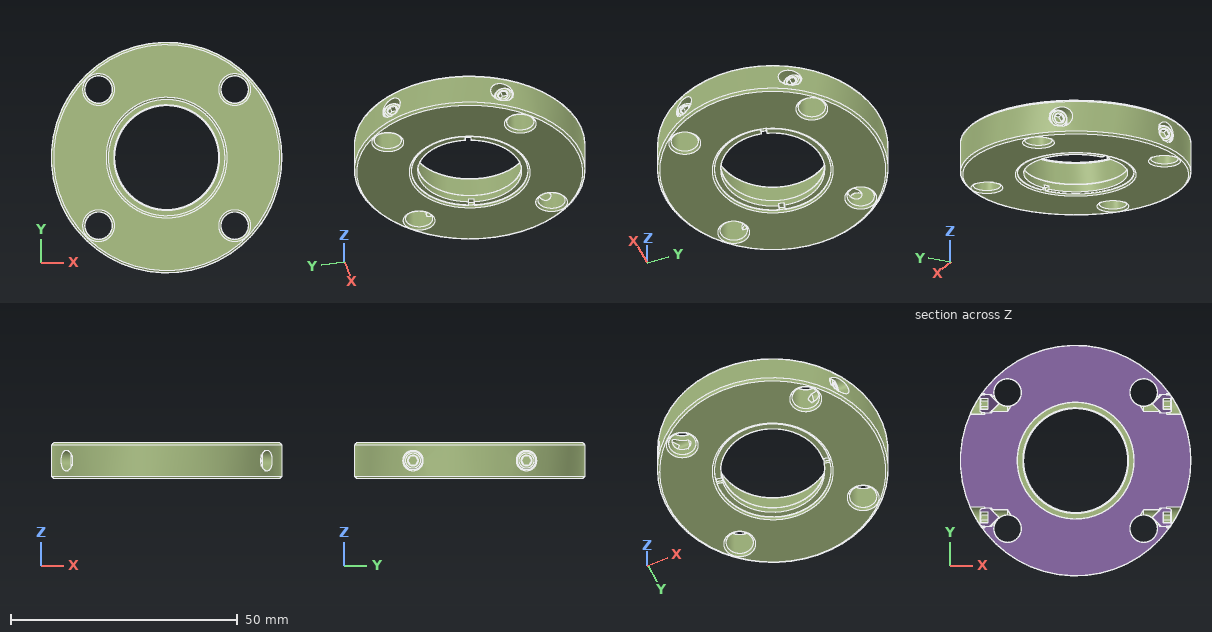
import cadquery as cq
import math

OUTER_DIA = 50.8
THICKNESS = 8.0
RIM_CHAMFER = 0.5
BORE_DIA = 25.65
BORE_MOUTH_DIA = 26.6

ROD_HOLE_DIA = 6.0
ROD_MOUTH_DIA = 7.0
ROD_OFFSET = 15.0

SCREW_OFFSET = 12.5
SCREW_DIA = 4.0
SCREW_LENGTH = 4.2
SCREW_HEAD_X = 21.1
HEAD_CHAMFER = 0.35
SOCKET_ACROSS_FLATS = 2.0
SOCKET_MOUTH_DIA = 2.4
SOCKET_DEPTH = 1.8
SOCKET_SIDES = 6
SOCKET_TURN = 30.0

COUNTERBORE_DIA = 4.5
COUNTERBORE_FLOOR_X = 20.0
PILOT_DIA = 3.3
DRILL_POINT_ANGLE = 118.0

RING_INNER_DIA = 22.9
RING_BASE_Z = 0.3
RING_HEIGHT = 1.9
RING_CHAMFER = 0.2

SLOT_WIDTH = 1.25
SLOT_DEPTH = 0.75
SLOT_ANGLE = 11.6

MID_Z = THICKNESS / 2
SCREW_TIP_X = SCREW_HEAD_X - SCREW_LENGTH
SIDES = (-1, 1)


def cylinder_z(diameter, z_low, z_high):
    return cq.Workplane("XY").workplane(offset=z_low).circle(diameter / 2).extrude(z_high - z_low)


def revolve_about_screw_axis(profile):
    """Revolve (x, radius) points about the axis of the screw at +X +Y."""
    outline = cq.Workplane("XY", origin=(0, SCREW_OFFSET, MID_Z)).polyline(profile).close()
    return outline.revolve(360, (0, 0), (1, 0))


def place_at_corner(shape, x_side, y_side):
    """Carry a shape from the +X +Y corner to another corner by mirroring."""
    if x_side < 0:
        shape = shape.mirror("YZ")
    if y_side < 0:
        shape = shape.mirror("XZ")
    return shape


def chamfered_hole(diameter, mouth_diameter):
    """Through-hole cutter along Z that widens to the mouth diameter at both faces."""
    chamfer = (mouth_diameter - diameter) / 2
    profile = [
        (0, 0),
        (mouth_diameter / 2, 0),
        (diameter / 2, chamfer),
        (diameter / 2, THICKNESS - chamfer),
        (mouth_diameter / 2, THICKNESS),
        (0, THICKNESS),
    ]
    return cq.Workplane("XZ").polyline(profile).close().revolve(360, (0, 0), (0, 1))


def screw_hole():
    """Counterbore that clears the screw head, screw seat, and pilot hole with a drill point.

    The drill point starts level with the rod axis.
    """
    pilot_radius = PILOT_DIA / 2
    drill_point_length = pilot_radius / math.tan(math.radians(DRILL_POINT_ANGLE / 2))
    seat_x = SCREW_TIP_X + pilot_radius
    rim_x = OUTER_DIA / 2
    return revolve_about_screw_axis([
        (ROD_OFFSET - drill_point_length, 0),
        (ROD_OFFSET, pilot_radius),
        (seat_x, pilot_radius),
        (seat_x, SCREW_DIA / 2),
        (COUNTERBORE_FLOOR_X, SCREW_DIA / 2),
        (COUNTERBORE_FLOOR_X, COUNTERBORE_DIA / 2),
        (rim_x, COUNTERBORE_DIA / 2),
        (rim_x, 0),
    ])


def make_housing():
    """Chamfered disc with a central bore, four rod holes and four screw holes."""
    body = cylinder_z(OUTER_DIA, 0, THICKNESS).edges().chamfer(RIM_CHAMFER)
    body = body.cut(chamfered_hole(BORE_DIA, BORE_MOUTH_DIA))
    rod_hole = chamfered_hole(ROD_HOLE_DIA, ROD_MOUTH_DIA).translate((ROD_OFFSET, ROD_OFFSET, 0))
    for x_side in SIDES:
        for y_side in SIDES:
            body = body.cut(place_at_corner(rod_hole, x_side, y_side))
            body = body.cut(place_at_corner(screw_hole(), x_side, y_side))
    return body


def make_set_screw(x_side, y_side):
    """Set screw with a 90 degree cone point and a countersunk hexagon socket."""
    radius = SCREW_DIA / 2
    screw = revolve_about_screw_axis([
        (SCREW_TIP_X, 0),
        (SCREW_TIP_X + radius, radius),
        (SCREW_HEAD_X - HEAD_CHAMFER, radius),
        (SCREW_HEAD_X, radius - HEAD_CHAMFER),
        (SCREW_HEAD_X, 0),
    ])
    mouth_radius = SOCKET_MOUTH_DIA / 2
    countersink = revolve_about_screw_axis([
        (SCREW_HEAD_X - mouth_radius, 0),
        (SCREW_HEAD_X, mouth_radius),
        (SCREW_HEAD_X, 0),
    ])
    socket = (
        cq.Workplane("YZ", origin=(SCREW_HEAD_X, SCREW_OFFSET, MID_Z))
        .transformed(rotate=(0, 0, SOCKET_TURN))
        .polygon(SOCKET_SIDES, SOCKET_ACROSS_FLATS, circumscribed=True)
        .extrude(-SOCKET_DEPTH)
    )
    return place_at_corner(screw.cut(countersink).cut(socket), x_side, y_side)


def make_retaining_ring():
    """Ring with a chamfered upper inner edge and two opposite slots in its underside."""
    ring = cylinder_z(BORE_DIA, RING_BASE_Z, RING_BASE_Z + RING_HEIGHT)
    hole = cylinder_z(RING_INNER_DIA, RING_BASE_Z, RING_BASE_Z + RING_HEIGHT)
    ring = ring.cut(hole)
    top_inner_edge = cq.selectors.RadiusNthSelector(0)
    ring = ring.faces(">Z").edges(top_inner_edge).chamfer(RING_CHAMFER)
    slots = (
        cq.Workplane("XY")
        .workplane(offset=RING_BASE_Z)
        .rect(OUTER_DIA, SLOT_WIDTH)
        .extrude(SLOT_DEPTH)
        .rotate((0, 0, 0), (0, 0, 1), SLOT_ANGLE)
    )
    return ring.cut(slots)


housing = make_housing()
set_screws = [make_set_screw(x_side, y_side) for x_side in SIDES for y_side in SIDES]
retaining_ring = make_retaining_ring()

result = cq.Compound.makeCompound(
    [housing.val(), *[screw.val() for screw in set_screws], retaining_ring.val()]
)